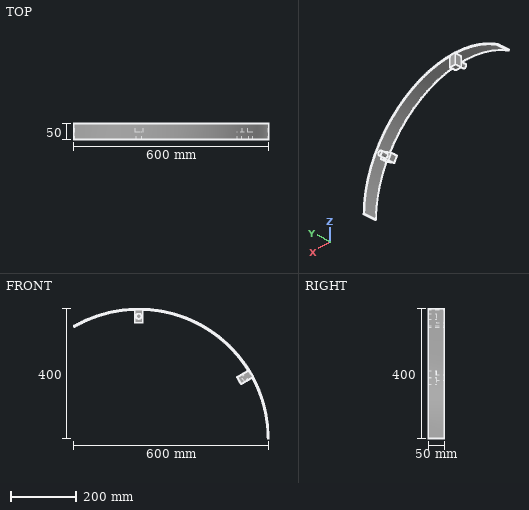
import cadquery as cq
import math

length = 600.0
band_width = 50.0
band_thickness = 4.0
arc_angle = 120.0
outer_radius = length / (1 - math.cos(math.radians(arc_angle)))
inner_radius = outer_radius - band_thickness

block_depth = 40.0
block_breadth = 25.0
block_width = band_width / 2
pin_diameter = 17.0
pin_radial_position = inner_radius - block_depth / 2
mounts = [(90.0, -1), (30.0, 1)]


def arc_point(radius, angle):
    radians = math.radians(angle)
    return radius * math.cos(radians), radius * math.sin(radians)


def make_band():
    return (
        cq.Workplane("XZ")
        .moveTo(*arc_point(outer_radius, 0))
        .threePointArc(arc_point(outer_radius, arc_angle / 2), arc_point(outer_radius, arc_angle))
        .lineTo(*arc_point(inner_radius, arc_angle))
        .threePointArc(arc_point(inner_radius, arc_angle / 2), arc_point(inner_radius, 0))
        .close()
        .extrude(band_width / 2, both=True)
    )


def make_mount(angle, pin_side):
    block_inner_end = inner_radius - block_depth
    block_length = block_depth + band_thickness / 2
    block = cq.Workplane("XY").box(block_length, block_width, block_breadth).translate(
        (block_inner_end + block_length / 2, -pin_side * block_width / 2, 0)
    )
    pin = (
        cq.Workplane("XZ")
        .center(pin_radial_position, 0)
        .circle(pin_diameter / 2)
        .extrude(-pin_side * band_width / 2)
    )
    return block.union(pin).rotate((0, 0, 0), (0, 1, 0), -angle)


result = make_band()
for mount_angle, mount_pin_side in mounts:
    result = result.union(make_mount(mount_angle, mount_pin_side))